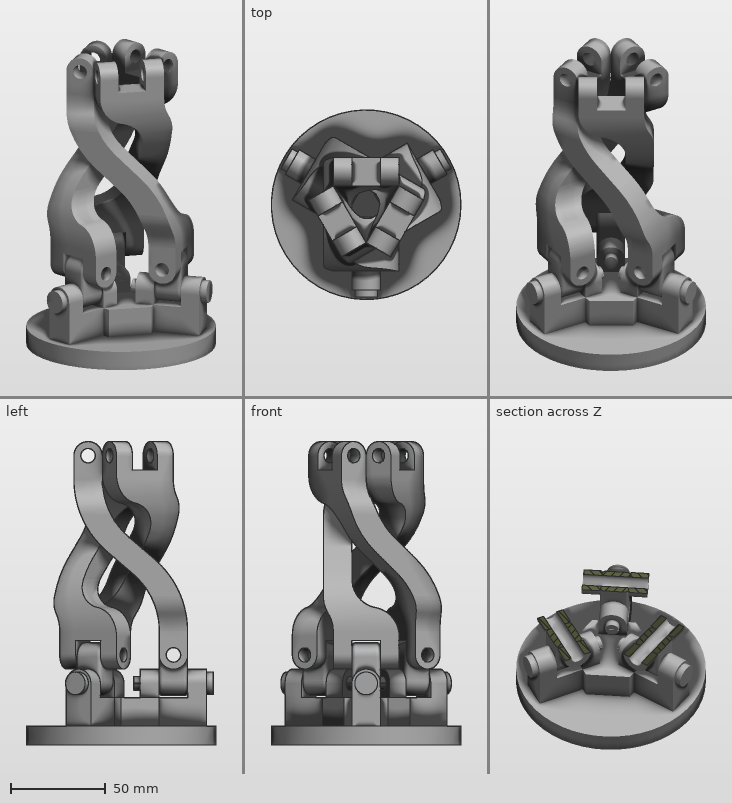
import cadquery as cq
import math

limb_count = 3
limb_step = 360 / limb_count
joint_width = 15.0
joint_radius = joint_width / 2
hole_diameter = 7.5
pin_diameter = 7.2

disc_diameter = 100.0
disc_thickness = 10.0
hub_apothem = 20.0
hub_height = 15.0
hub_top = disc_thickness + hub_height
arm_end = 45.0
lug_thickness = 10.0
slot_outer = arm_end - lug_thickness
slot_inner = slot_outer - joint_width
lug_inner = slot_inner - lug_thickness
base_axis_height = hub_top + joint_radius

head_diameter = 12.0
head_thickness = 3.5
pin_inner_end = 6.5
lip_taper = 0.5
slit_width = 0.2
slit_end = slot_inner

axis_spacing = 15.0
knuckle_height = 28.0
knuckle_edge_radius = 2.0
knuckle_middle = base_axis_height + axis_spacing / 2
knuckle_distance = (slot_inner + slot_outer) / 2

link_bottom = base_axis_height + axis_spacing - joint_radius
link_top = 160.0
link_middle = (link_bottom + link_top) / 2
fork_half_width = 17.3
fork_slot_depth = 15.0
fork_height = 20.0
fork_shift = 45.0
lower_axis = link_bottom + joint_radius
upper_axis = link_top - joint_radius
bend_start = link_bottom + fork_height
bend_end = link_top - fork_height
bend_outer_radius = 50.0
bend_inner_radius = 40.0
strap_outer_x = -22.5
strap_inner_x = -7.5
strap_outer_radius = 17.5
strap_inner_start = 17.5
strap_inner_rise = 30.0


def box_between(x_range, y_range, z_range):
    """Box spanning the given coordinate ranges."""
    sizes = [high - low for low, high in (x_range, y_range, z_range)]
    corner = (x_range[0], y_range[0], z_range[0])
    return cq.Workplane("XY").box(*sizes, centered=False).translate(corner)


def rod_y(diameter, y_range, height):
    """Cylinder along Y, on x = 0 at the given height."""
    length = y_range[1] - y_range[0]
    plane = cq.Workplane("XZ", origin=(0, y_range[1], height))
    return plane.circle(diameter / 2).extrude(length)


def rod_x(diameter, half_length, y, height):
    """Cylinder along X, centred on x = 0."""
    plane = cq.Workplane("YZ", origin=(0, y, height))
    return plane.circle(diameter / 2).extrude(half_length, both=True)


def around_axis(shape):
    """Copies of a limb part, equally spaced about Z."""
    return [shape.rotate((0, 0, 0), (0, 0, 1), i * limb_step).val() for i in range(limb_count)]


def make_base():
    base = cq.Workplane("XY").circle(disc_diameter / 2).extrude(disc_thickness)
    hub_diameter = 2 * hub_apothem / math.cos(math.pi / 6)
    hub = cq.Workplane("XY").polygon(6, hub_diameter).extrude(hub_top)
    base = base.union(hub)

    width = (-joint_radius, joint_radius)
    arm = box_between(width, (-arm_end, -lug_inner), (0, base_axis_height))
    arm = arm.union(rod_y(joint_width, (-arm_end, -lug_inner), base_axis_height))
    slot = box_between(width, (-slot_outer, -slot_inner), (hub_top, base_axis_height + joint_width))
    hole = rod_y(hole_diameter, (-arm_end, -lug_inner), base_axis_height)
    for clevis in around_axis(arm.cut(slot).cut(hole)):
        base = base.union(cq.Workplane(clevis))
    return base


def make_pin():
    """Headed pin whose split tip swells to the hole size just inside the inner lug."""
    shaft_radius = pin_diameter / 2
    lip_radius = hole_diameter / 2
    half_outline = [
        (-arm_end - head_thickness, 0),
        (-arm_end - head_thickness, head_diameter / 2),
        (-arm_end, head_diameter / 2),
        (-arm_end, shaft_radius),
        (-lug_inner, shaft_radius),
        (-lug_inner + lip_taper, lip_radius),
        (-pin_inner_end - lip_taper, lip_radius),
        (-pin_inner_end, shaft_radius),
        (-pin_inner_end, 0),
    ]
    profile = cq.Workplane("YZ", origin=(0, 0, base_axis_height)).polyline(half_outline).close()
    pin = profile.revolve(360, (0, 0), (1, 0))
    slit = box_between(
        (-joint_radius, joint_radius),
        (-slit_end, 0),
        (base_axis_height - slit_width / 2, base_axis_height + slit_width / 2),
    )
    return pin.cut(slit)


def make_knuckle():
    half_height = knuckle_height / 2

    def half_rounded(plane, direction):
        """Profile with one end rounded, extruded both ways across the knuckle."""
        straight = direction * (half_height - joint_radius)
        return (
            cq.Workplane(plane)
            .moveTo(-joint_radius, -direction * half_height)
            .lineTo(-joint_radius, straight)
            .threePointArc((0, direction * half_height), (joint_radius, straight))
            .lineTo(joint_radius, -direction * half_height)
            .close()
            .extrude(joint_radius, both=True)
        )

    knuckle = half_rounded("YZ", 1).intersect(half_rounded("XZ", -1))
    knuckle = knuckle.edges("|Z or %CIRCLE").fillet(knuckle_edge_radius)
    knuckle = knuckle.translate((0, -knuckle_distance, knuckle_middle))
    knuckle = knuckle.cut(rod_y(hole_diameter, (-slot_outer, -slot_inner), base_axis_height))
    return knuckle.cut(rod_x(hole_diameter, joint_width, -knuckle_distance, lower_axis))


def side_profile():
    """S-shaped outline in YZ, swept across the full width of the link."""
    low_out, low_in = -slot_outer, -slot_inner
    high_out, high_in = low_in + fork_shift, low_out + fork_shift
    outer_centre = (low_out + bend_outer_radius, bend_start)
    inner_centre = (high_in - bend_inner_radius, bend_end)
    dy = inner_centre[0] - outer_centre[0]
    dz = inner_centre[1] - outer_centre[1]
    reach = (bend_outer_radius + bend_inner_radius) / math.hypot(dy, dz)
    tangent = math.atan2(dz, dy) + math.acos(reach)
    middle_y = (low_out + high_out) / 2

    def outer_point(angle):
        return (
            outer_centre[0] + bend_outer_radius * math.cos(angle),
            outer_centre[1] + bend_outer_radius * math.sin(angle),
        )

    def inner_point(angle):
        return (
            inner_centre[0] - bend_inner_radius * math.cos(angle),
            inner_centre[1] - bend_inner_radius * math.sin(angle),
        )

    def opposite(point):
        return (2 * middle_y - point[0], 2 * link_middle - point[1])

    half_way = (math.pi + tangent) / 2
    rear = [outer_point(half_way), outer_point(tangent), inner_point(tangent), inner_point(half_way)]
    front = [opposite(point) for point in rear]
    return (
        cq.Workplane("YZ")
        .moveTo(low_out, lower_axis)
        .lineTo(low_out, bend_start)
        .threePointArc(rear[0], rear[1])
        .lineTo(*rear[2])
        .threePointArc(rear[3], (high_in, bend_end))
        .lineTo(high_in, upper_axis)
        .threePointArc((high_in + joint_radius, link_top), (high_out, upper_axis))
        .lineTo(high_out, bend_end)
        .threePointArc(front[0], front[1])
        .lineTo(*front[2])
        .threePointArc(front[3], (low_in, bend_start))
        .lineTo(low_in, lower_axis)
        .threePointArc((low_in - joint_radius, link_bottom), (low_out, lower_axis))
        .close()
        .extrude(2 * fork_half_width, both=True)
    )


def front_profile():
    """Outline in XZ: wide forks narrowing to an offset strap, extruded along Y."""
    outer_step = -fork_half_width - strap_outer_x
    outer_half_rise = math.sqrt(strap_outer_radius**2 - (strap_outer_radius - outer_step / 2) ** 2)
    outer_middle_x = -fork_half_width - outer_step / 2
    outer_low = bend_start + 2 * outer_half_rise
    outer_high = bend_end - 2 * outer_half_rise
    inner_middle_x = (fork_half_width + strap_inner_x) / 2
    inner_start = link_bottom + strap_inner_start
    inner_low = inner_start + strap_inner_rise
    inner_end = link_top - strap_inner_start
    inner_high = inner_end - strap_inner_rise
    depth_each_way = 2 * fork_shift
    return (
        cq.Workplane("XZ")
        .moveTo(-fork_half_width, link_bottom)
        .lineTo(-fork_half_width, bend_start)
        .tangentArcPoint((outer_middle_x, bend_start + outer_half_rise), relative=False)
        .tangentArcPoint((strap_outer_x, outer_low), relative=False)
        .lineTo(strap_outer_x, outer_high)
        .tangentArcPoint((outer_middle_x, bend_end - outer_half_rise), relative=False)
        .tangentArcPoint((-fork_half_width, bend_end), relative=False)
        .lineTo(-fork_half_width, link_top)
        .lineTo(fork_half_width, link_top)
        .lineTo(fork_half_width, inner_end)
        .tangentArcPoint((inner_middle_x, (inner_end + inner_high) / 2), relative=False)
        .tangentArcPoint((strap_inner_x, inner_high), relative=False)
        .lineTo(strap_inner_x, inner_low)
        .tangentArcPoint((inner_middle_x, (inner_start + inner_low) / 2), relative=False)
        .tangentArcPoint((fork_half_width, inner_start), relative=False)
        .lineTo(fork_half_width, link_bottom)
        .close()
        .extrude(depth_each_way, both=True)
    )


def make_link():
    link = side_profile().intersect(front_profile())
    slot_x = (-joint_radius, joint_radius)
    lower_slot = (link_bottom, link_bottom + fork_slot_depth)
    upper_slot = (link_top - fork_slot_depth, link_top)
    upper_y = (-slot_outer + fork_shift, -slot_inner + fork_shift)
    link = link.cut(box_between(slot_x, (-slot_outer, -slot_inner), lower_slot))
    link = link.cut(box_between(slot_x, upper_y, upper_slot))
    link = link.cut(rod_x(hole_diameter, fork_half_width, -knuckle_distance, lower_axis))
    return link.cut(rod_x(hole_diameter, fork_half_width, -knuckle_distance + fork_shift, upper_axis))


base = make_base()
pins = around_axis(make_pin())
knuckles = around_axis(make_knuckle())
links = around_axis(make_link())

result = cq.Compound.makeCompound([base.val(), *pins, *knuckles, *links])